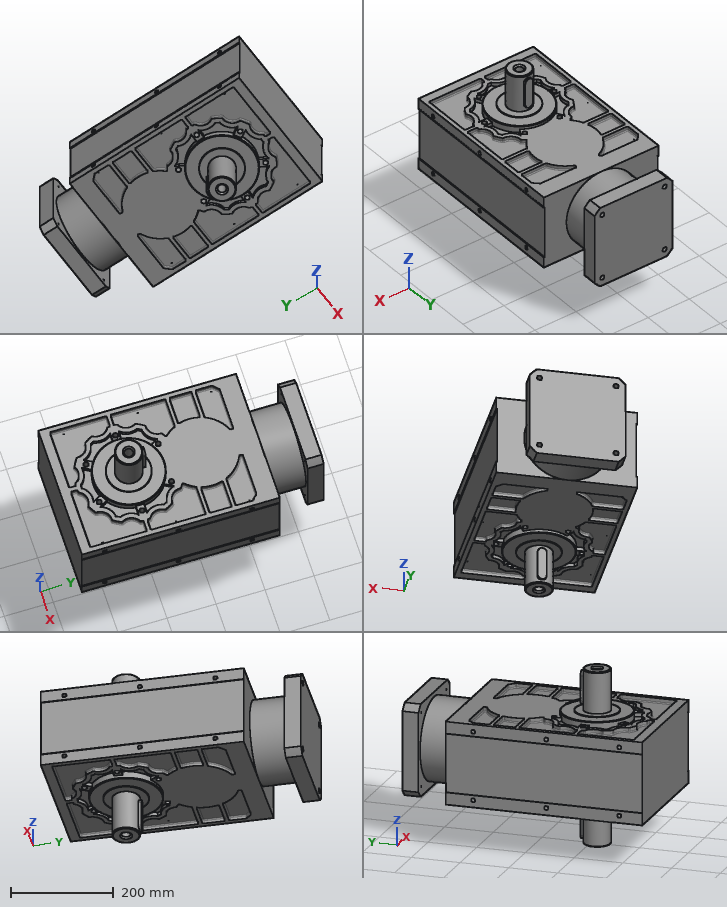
import cadquery as cq
import math


HOUSING_WIDTH = 280
HOUSING_HEIGHT = 170
HOUSING_FRONT = -140
HOUSING_BACK = 263.5
HOUSING_LENGTH = HOUSING_BACK - HOUSING_FRONT
HALF_HEIGHT = HOUSING_HEIGHT / 2
SIDE_RELIEF_HEIGHT = 120
SIDE_RELIEF_DEPTH = 2

SIDE_HOLE_DIAMETER = 8
SIDE_HOLE_DEPTH = 17.5
SIDE_HOLE_Y = (-93, 57, 207)
SIDE_HOLE_Z = 70

FLANGE_SIZE = 190
FLANGE_CORNER_DIAMETER = 250
FLANGE_BACK = 367.5
FLANGE_THICKNESS = 33
FLANGE_FRONT = FLANGE_BACK - FLANGE_THICKNESS
FLANGE_BOLT_CIRCLE = 215
FLANGE_HOLE_DIAMETER = 10
FLANGE_HOLE_DEPTH = 29.5
NECK_DIAMETER = 170

SHAFT_DIAMETER = 55
SHAFT_LENGTH = 358
SHAFT_END = SHAFT_LENGTH / 2
SHAFT_CHAMFER = 2
KEY_WIDTH = 18
KEY_LENGTH = 70
KEY_HEIGHT = 11
KEY_END_GAP = 7
KEY_TOP = 31.5
BORE_DIAMETER = 17.5
BORE_MOUTH_DIAMETER = 24
BORE_MOUTH_DEPTH = (BORE_MOUTH_DIAMETER - BORE_DIAMETER) / 2
BORE_DEPTH = 50

CAP_DIAMETER = 145
CAP_TOP = 92.5
CAP_CHAMFER = 1.5
HUB_DIAMETER = 90
HUB_TOP = 94
HUB_CHAMFER = 0.8

LOBE_COUNT = 12
LOBE_RADIUS = 106.5
SCALLOP_RADIUS = 23
SCALLOP_DEPTH = 9.5
SCALLOP_CENTER_RADIUS = LOBE_RADIUS - SCALLOP_DEPTH + SCALLOP_RADIUS

PAD_COUNT = 6
PAD_WIDTH = 17
BOSS_WALL = 10
BOSS_POCKET_DEPTH = 8
COVER_BOLT_RADIUS = 85
COVER_HOLE_DIAMETER = 10
COVER_HOLE_DEPTH = 20

POCKET_WIDTH = 260
POCKET_FRONT = -119.5
POCKET_BACK = 223
POCKET_DEPTH = 9
POCKET_CORNER_CUT = 12
POCKET_CORNER_RADIUS = 2.5
POCKET_FLOOR_RADIUS = 2
CROSS_RIB_WIDTH = 8
FRONT_RIB_WIDTH = 9
CROSS_RIB_Y = (0, 120, 173)
GEAR_BOSS_RADIUS = 75
GEAR_BOSS_Y = 147
CENTER_WEB_WIDTH = 58

DRILL_POINT_ANGLE = 118


def drill(diameter, depth):
    """Blind drill body from the origin down -Z; depth excludes the conical point."""
    radius = diameter / 2
    point = radius / math.tan(math.radians(DRILL_POINT_ANGLE / 2))
    profile = cq.Workplane("XZ").polyline([(0, 0), (radius, 0), (radius, -depth), (0, -depth - point)])
    return profile.close().revolve(360, (0, 0, 0), (0, 1, 0))


def polar(radius, angle):
    """Point at a radius and an angle in degrees."""
    return (radius * math.cos(math.radians(angle)), radius * math.sin(math.radians(angle)))


def block(width, y_min, y_max, z_min, z_max):
    """Box centred on X between the given Y and Z limits."""
    body = cq.Workplane("XY").box(width, y_max - y_min, z_max - z_min, centered=(True, False, False))
    return body.translate((0, y_min, z_min))


def disc(diameter, z_min, z_max):
    """Cylinder on the Z axis."""
    return cq.Workplane("XY").workplane(offset=z_min).circle(diameter / 2).extrude(z_max - z_min)


def scalloped_boss(inset, z_min, z_max):
    """Round boss with scallops between its lobes, its outline moved inward by inset."""
    pitch = 360 / LOBE_COUNT
    lobe_radius = LOBE_RADIUS - inset
    scallop_radius = SCALLOP_RADIUS + inset
    cosine = lobe_radius**2 + SCALLOP_CENTER_RADIUS**2 - scallop_radius**2
    cosine /= 2 * lobe_radius * SCALLOP_CENTER_RADIUS
    half_scallop = math.degrees(math.acos(cosine))
    half_lobe = pitch / 2 - half_scallop
    outline = cq.Workplane("XY").workplane(offset=z_min).moveTo(*polar(lobe_radius, -half_lobe))
    for i in range(LOBE_COUNT):
        lobe = i * pitch
        scallop = lobe + pitch / 2
        outline = outline.threePointArc(polar(lobe_radius, lobe), polar(lobe_radius, lobe + half_lobe))
        bottom = polar(SCALLOP_CENTER_RADIUS - scallop_radius, scallop)
        outline = outline.threePointArc(bottom, polar(lobe_radius, scallop + half_scallop))
    return outline.close().extrude(z_max - z_min)


def make_housing():
    housing = block(HOUSING_WIDTH, HOUSING_FRONT, HOUSING_BACK, -HALF_HEIGHT, HALF_HEIGHT)
    relief_x = HOUSING_WIDTH / 2 - SIDE_RELIEF_DEPTH / 2
    for side in (-1, 1):
        relief = cq.Workplane("XY").box(SIDE_RELIEF_DEPTH, HOUSING_LENGTH, SIDE_RELIEF_HEIGHT)
        center_y = (HOUSING_FRONT + HOUSING_BACK) / 2
        housing = housing.cut(relief.translate((side * relief_x, center_y, 0)))
    return housing


def cut_side_holes(body):
    tool = drill(SIDE_HOLE_DIAMETER, SIDE_HOLE_DEPTH)
    for side in (-1, 1):
        turned = tool.rotate((0, 0, 0), (0, 1, 0), side * 90)
        for y in SIDE_HOLE_Y:
            for z in (-SIDE_HOLE_Z, SIDE_HOLE_Z):
                body = body.cut(turned.translate((side * HOUSING_WIDTH / 2, y, z)))
    return body


def make_input_flange():
    """Square flange with rounded-off corners, blind bolt holes and a round neck."""
    back = cq.Workplane("XZ", origin=(0, FLANGE_BACK, 0))
    flange = back.rect(FLANGE_SIZE, FLANGE_SIZE).extrude(FLANGE_THICKNESS)
    flange = flange.intersect(back.circle(FLANGE_CORNER_DIAMETER / 2).extrude(FLANGE_THICKNESS))
    tool = drill(FLANGE_HOLE_DIAMETER, FLANGE_HOLE_DEPTH).rotate((0, 0, 0), (1, 0, 0), -90)
    for corner in range(4):
        x, z = polar(FLANGE_BOLT_CIRCLE / 2, 45 + 90 * corner)
        flange = flange.cut(tool.translate((x, FLANGE_BACK, z)))
    neck_start = cq.Workplane("XZ", origin=(0, FLANGE_FRONT, 0))
    neck = neck_start.circle(NECK_DIAMETER / 2).extrude(FLANGE_FRONT - HOUSING_BACK)
    return flange.union(neck)


def face_pockets():
    """Pocket bodies around the bosses and ribs of the top face."""
    floor = HALF_HEIGHT - POCKET_DEPTH
    top = HALF_HEIGHT
    tool = block(POCKET_WIDTH, POCKET_FRONT, POCKET_BACK, floor, top)
    tool = tool.edges("|Z and >Y").chamfer(POCKET_CORNER_CUT)
    tool = tool.cut(scalloped_boss(0, floor, top))
    tool = tool.cut(disc(2 * GEAR_BOSS_RADIUS, floor, top).translate((0, GEAR_BOSS_Y, 0)))
    tool = tool.cut(block(FRONT_RIB_WIDTH, POCKET_FRONT, 0, floor, top))
    tool = tool.cut(block(CENTER_WEB_WIDTH, 0, POCKET_BACK, floor, top))
    for y in CROSS_RIB_Y:
        rib_front = y - CROSS_RIB_WIDTH / 2
        rib_back = y + CROSS_RIB_WIDTH / 2
        tool = tool.cut(block(POCKET_WIDTH, rib_front, rib_back, floor, top))
    tool = tool.edges("|Z").fillet(POCKET_CORNER_RADIUS)
    return tool.faces("<Z").edges().fillet(POCKET_FLOOR_RADIUS)


def boss_pockets():
    """Shallow pockets between the bolt pads; the sector toward +Y stays solid."""
    floor = HALF_HEIGHT - BOSS_POCKET_DEPTH
    top = HALF_HEIGHT
    tool = scalloped_boss(BOSS_WALL, floor, top).cut(disc(CAP_DIAMETER, floor, top))
    pad_pitch = 360 / PAD_COUNT
    pad = cq.Workplane("XY").box(LOBE_RADIUS, PAD_WIDTH, BOSS_POCKET_DEPTH, centered=(False, True, False))
    pad = pad.translate((0, 0, floor))
    for i in range(PAD_COUNT):
        tool = tool.cut(pad.rotate((0, 0, 0), (0, 0, 1), i * pad_pitch))
    corners = [(0, 0), polar(2 * LOBE_RADIUS, pad_pitch), polar(2 * LOBE_RADIUS, 2 * pad_pitch)]
    solid_sector = cq.Workplane("XY").workplane(offset=floor).polyline(corners).close()
    return tool.cut(solid_sector.extrude(BOSS_POCKET_DEPTH))


def cover_holes():
    tool = drill(COVER_HOLE_DIAMETER, COVER_HOLE_DEPTH)
    holes = cq.Workplane("XY")
    for i in range(PAD_COUNT):
        x, y = polar(COVER_BOLT_RADIUS, i * 360 / PAD_COUNT)
        holes = holes.add(tool.translate((x, y, HALF_HEIGHT)))
    return holes.combine()


def make_shaft_end():
    """Upper half of the output side: cap, hub, shaft and key, with the end bore."""
    cap = disc(CAP_DIAMETER, 0, CAP_TOP).faces(">Z").chamfer(CAP_CHAMFER)
    hub = disc(HUB_DIAMETER, 0, HUB_TOP).faces(">Z").chamfer(HUB_CHAMFER)
    shaft = disc(SHAFT_DIAMETER, 0, SHAFT_END).faces(">Z").chamfer(SHAFT_CHAMFER)
    key_z = SHAFT_END - KEY_END_GAP - KEY_LENGTH / 2
    key_face = cq.Workplane("XZ", origin=(0, KEY_TOP, key_z))
    key = key_face.slot2D(KEY_LENGTH, KEY_WIDTH, 90).extrude(KEY_HEIGHT)
    body = cap.union(hub).union(shaft).union(key)
    mouth_base = cq.Vector(0, 0, SHAFT_END - BORE_MOUTH_DEPTH)
    mouth = cq.Solid.makeCone(BORE_DIAMETER / 2, BORE_MOUTH_DIAMETER / 2, BORE_MOUTH_DEPTH, mouth_base)
    bore = drill(BORE_DIAMETER, BORE_DEPTH).translate((0, 0, SHAFT_END))
    return body.cut(bore).cut(cq.Workplane(obj=mouth))


def on_both_faces(upper):
    """The given upper body together with its mirror image below the XY plane."""
    return (upper, upper.mirror("XY"))


result = cut_side_holes(make_housing())
for tools in (face_pockets(), boss_pockets(), cover_holes()):
    for tool in on_both_faces(tools):
        result = result.cut(tool)
result = result.union(make_input_flange())
for shaft_end in on_both_faces(make_shaft_end()):
    result = result.union(shaft_end)